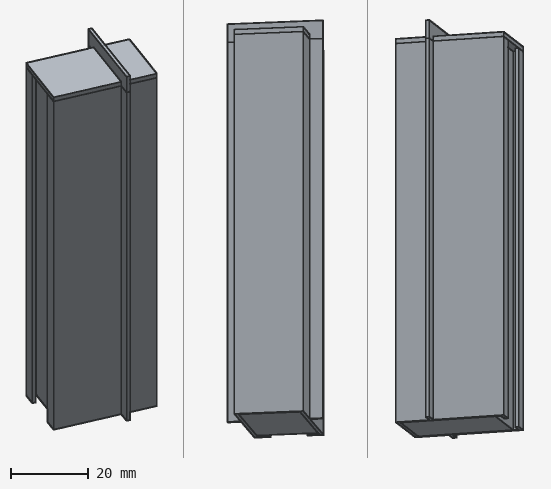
import cadquery as cq

total_height = 105.0
total_depth = 29.0
flange_width = 25.0
case_width = 18.1

wall = 1.0
lid_thickness = 1.3
flange_rise = 3.6
back_depth = 9.0
slot_width = 9.8
core_gap = 1.5

case_top = total_height - flange_rise
seam_level = case_top - lid_thickness
front_y = -total_depth / 2
flange_y = total_depth / 2 - back_depth - wall


def block(width, depth, height, y_start, z_start):
    """Box centred on X, growing from y_start toward +Y and from z_start upward."""
    return (
        cq.Workplane("XY")
        .box(width, depth, height, centered=(True, False, False))
        .translate((0, y_start, z_start))
    )


def make_housing():
    """Flanged rectangular tube with a full-height slot in its front wall."""
    case = block(case_width, total_depth, seam_level, front_y, 0)
    flange = block(flange_width, wall, seam_level, flange_y, 0)
    cavity = block(case_width - 2 * wall, total_depth - 2 * wall, seam_level, front_y + wall, 0)
    slot = block(slot_width, wall, seam_level, front_y, 0)
    return case.union(flange).cut(cavity).cut(slot)


def make_cap():
    """Flat lid on the housing, carrying the raised end of the flange."""
    lid = block(case_width, total_depth, lid_thickness, front_y, seam_level)
    flange_end = block(flange_width, wall, total_height - seam_level, flange_y, seam_level)
    return lid.union(flange_end)


def make_core():
    """Solid bar filling the housing cavity, set back behind the front lips."""
    return block(
        case_width - 2 * wall,
        total_depth - 2 * wall - core_gap,
        seam_level,
        front_y + wall + core_gap,
        0,
    )


housing = make_housing()
cap = make_cap()
core = make_core()

result = cq.Compound.makeCompound([housing.val(), cap.val(), core.val()])